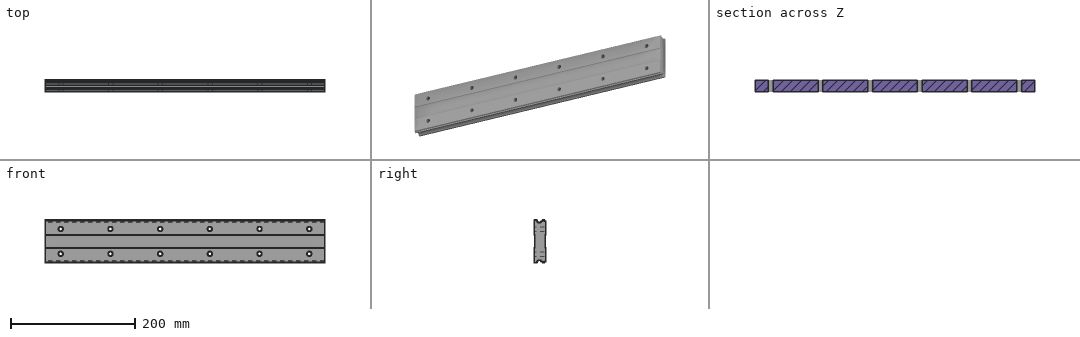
import cadquery as cq
import math

length = 450.0
thickness = 19.0
height = 69.0

groove_depth = 4.0
groove_floor_back = 1.2
groove_floor_front = -3.2
front_wall_angle = 60.0

crest_back = 6.8
crest_front = 4.7
outer_shoulder_step = 1.2
outer_shoulder_angle = 20.0
inner_shoulder_step = 0.8
inner_shoulder_angle = 30.0

front_bevel = 1.0

recess_height = 22.0
recess_depth = 1.0
recess_slope_height = 1.0

hole_diameter = 7.0
hole_pitch = 80.0
holes_per_row = 6
row_spacing = 40.0


def slope_drop(run, angle):
    """Return how far a face at this angle to the horizontal falls over a run."""
    return run * math.tan(math.radians(angle))


def upper_half_outline():
    """List the (y, z) points of the upper half of the cross-section, from the +Y face to the -Y face."""
    y_face = thickness / 2
    y_recess = y_face - recess_depth
    z_mouth = recess_height / 2
    z_recess = z_mouth - recess_slope_height
    z_lip = height / 2
    z_floor = z_lip - groove_depth

    z_outer_shoulder = z_lip - outer_shoulder_step
    z_back_corner = z_outer_shoulder - slope_drop(y_face - crest_back, outer_shoulder_angle)
    z_inner_shoulder = z_lip - inner_shoulder_step
    z_shoulder_end = z_inner_shoulder - slope_drop(crest_front - groove_floor_back, inner_shoulder_angle)
    front_wall_run = groove_depth / math.tan(math.radians(front_wall_angle))

    return [
        (y_recess, z_recess),
        (y_face, z_mouth),
        (y_face, z_back_corner),
        (crest_back, z_outer_shoulder),
        (crest_back, z_lip),
        (crest_front, z_lip),
        (crest_front, z_inner_shoulder),
        (groove_floor_back, z_shoulder_end),
        (groove_floor_back, z_floor),
        (groove_floor_front, z_floor),
        (groove_floor_front - front_wall_run, z_lip),
        (front_bevel - y_face, z_lip),
        (-y_face, z_lip - front_bevel),
        (-y_face, z_mouth),
        (-y_recess, z_recess),
    ]


def make_bar():
    """Extrude the cross-section, whose lower half mirrors the upper half, along X."""
    upper = upper_half_outline()
    lower = [(y, -z) for y, z in reversed(upper)]
    return cq.Workplane("YZ").polyline(upper + lower).close().extrude(length / 2, both=True)


def drill_mounting_holes(bar):
    """Drill both rows of holes right through the thickness."""
    cutter = (
        cq.Workplane("XZ")
        .rarray(hole_pitch, row_spacing, holes_per_row, 2)
        .circle(hole_diameter / 2)
        .extrude(thickness, both=True)
    )
    return bar.cut(cutter)


result = drill_mounting_holes(make_bar())